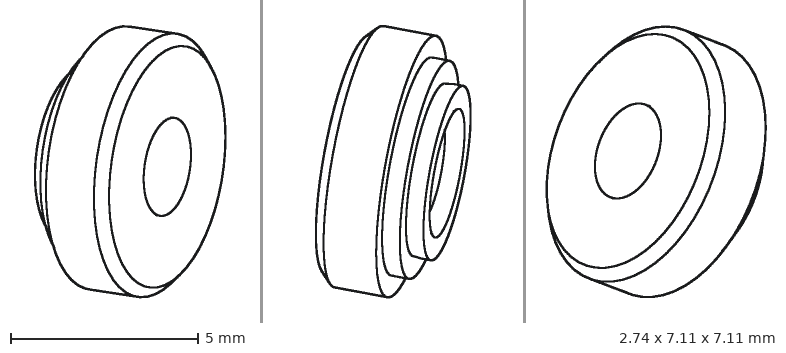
import cadquery as cq

total_length = 2.74
flange_diameter = 7.11
shoulder_diameter = 5.93
nose_diameter = 4.74
nose_root_diameter = 4.69
bore_diameter = 2.645

nose_rim_length = 0.24
shoulder_start = 0.49
flange_start = 0.98
flange_chamfer = 0.3

countersink_diameter = 3.5
countersink_depth = (countersink_diameter - bore_diameter) / 2

half_section = [
    (countersink_depth, bore_diameter / 2),
    (0, countersink_diameter / 2),
    (0, nose_diameter / 2),
    (nose_rim_length, nose_diameter / 2),
    (shoulder_start, nose_root_diameter / 2),
    (shoulder_start, shoulder_diameter / 2),
    (flange_start, shoulder_diameter / 2),
    (flange_start, flange_diameter / 2),
    (total_length - flange_chamfer, flange_diameter / 2),
    (total_length, flange_diameter / 2 - flange_chamfer),
    (total_length, bore_diameter / 2),
]

result = cq.Workplane("XY").polyline(half_section).close().revolve(360, (0, 0, 0), (1, 0, 0))